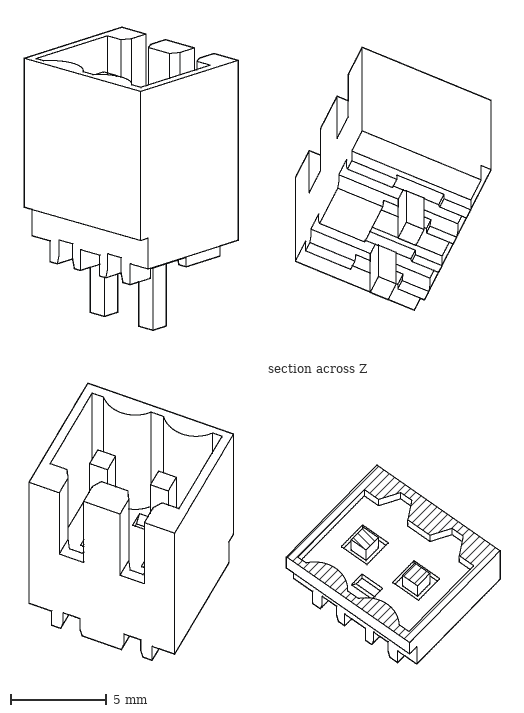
import cadquery as cq


pitch = 3.5
pin_width = 1.03
pin_y = 3.5
pin_tail = 3.2
pin_recess_below_rim = 1.25
pin_xs = (-pitch / 2, pitch / 2)

width = 8.4
depth = 7.45
rim_z = 11.05
ledge_z = 2.85
ledge_depth = 0.58
shoulder_z = 1.15
feet_width = 5.8

wall = 0.49
floor_z = ledge_z + wall
front_wall_left = 0.39
front_wall_middle = 0.43
front_wall_right = 0.53
cavity_back_y = 5.83
cheek_radius = 1.75
cheek_peak_y = 1.12
cheek_axis_y = cheek_peak_y - cheek_radius

keyway_back_y = 6.9
keyway_mouth = 1.98
keyway_end = 0.74
back_slot_width = 1.4
back_slot_depth = 5.0

floor_recess = 0.4
pin_recess_width = 1.75
ramp_width = 1.4
ramp_front_y = 1.13
ramp_foot_y = 1.53
ramp_recess_back_y = 2.0

notch_front_y = 2.13
notch_back_y = 4.85
notch_height = 0.52
pin_slot_width = 0.97
pin_slot_mouth = 1.23
pin_slot_height = 1.35
flare_height = 0.5
middle_slot_width = 1.4


def box(x_min, x_max, y_min, y_max, z_min, z_max):
    """Axis-aligned block between the given limits."""
    block = cq.Workplane("XY").box(x_max - x_min, y_max - y_min, z_max - z_min, centered=False)
    return block.translate((x_min, y_min, z_min))


def centred_box(x, x_size, y_min, y_max, z_min, z_max):
    """Block centred on x, between the given Y and Z limits."""
    return box(x - x_size / 2, x + x_size / 2, y_min, y_max, z_min, z_max)


def square_bar(x, size, z_min, z_max):
    """Square upright bar on a pin axis."""
    return centred_box(x, size, pin_y - size / 2, pin_y + size / 2, z_min, z_max)


def make_shell():
    """Solid outside of the housing, with the ledge and the narrower feet."""
    upper = centred_box(0, width, 0, depth, ledge_z, rim_z)
    base = centred_box(0, width, ledge_depth, depth, shoulder_z, ledge_z)
    feet = centred_box(0, feet_width, ledge_depth, depth, 0, shoulder_z)
    return upper.union(base).union(feet)


def make_cavity():
    """Socket space: stepped front wall, round cheeks before the pins and keyways behind them."""
    half = width / 2 - wall
    left_pin, right_pin = pin_xs
    cavity = box(-half, left_pin, front_wall_left, cavity_back_y, floor_z, rim_z)
    cavity = cavity.union(box(left_pin, right_pin, front_wall_middle, cavity_back_y, floor_z, rim_z))
    cavity = cavity.union(box(right_pin, half, front_wall_right, cavity_back_y, floor_z, rim_z))
    for x in pin_xs:
        cheek = (
            cq.Workplane("XY", origin=(x, cheek_axis_y, floor_z))
            .circle(cheek_radius)
            .extrude(rim_z - floor_z)
        )
        keyway = (
            cq.Workplane("XY", origin=(x, 0, floor_z))
            .moveTo(-keyway_mouth / 2, cavity_back_y)
            .lineTo(keyway_mouth / 2, cavity_back_y)
            .lineTo(keyway_end / 2, keyway_back_y)
            .lineTo(-keyway_end / 2, keyway_back_y)
            .close()
            .extrude(rim_z - floor_z)
        )
        cavity = cavity.cut(cheek).union(keyway)
    return cavity


def make_back_slot(x):
    """Slot from a keyway out through the back wall, open at the rim."""
    return centred_box(x, back_slot_width, cavity_back_y, depth, rim_z - back_slot_depth, rim_z)


def make_ramp_recess():
    """Floor recess whose front side is a ramp down to a flat bottom."""
    return (
        cq.Workplane("YZ", origin=(-ramp_width / 2, 0, 0))
        .moveTo(ramp_front_y, floor_z)
        .lineTo(ramp_foot_y, floor_z - floor_recess)
        .lineTo(ramp_recess_back_y, floor_z - floor_recess)
        .lineTo(ramp_recess_back_y, floor_z)
        .close()
        .extrude(ramp_width)
    )


def make_pin_slot(x):
    """Front-to-back slot under a pin, flared at its lower mouth."""
    return (
        cq.Workplane("XZ", origin=(x, 0, 0))
        .moveTo(-pin_slot_mouth / 2, 0)
        .lineTo(pin_slot_mouth / 2, 0)
        .lineTo(pin_slot_width / 2, flare_height)
        .lineTo(pin_slot_width / 2, pin_slot_height)
        .lineTo(-pin_slot_width / 2, pin_slot_height)
        .lineTo(-pin_slot_width / 2, flare_height)
        .close()
        .extrude(-depth)
    )


def make_pin(x):
    """Straight square pin, also used to cut its own hole."""
    return square_bar(x, pin_width, -pin_tail, rim_z - pin_recess_below_rim)


def make_housing():
    housing = make_shell().cut(make_cavity()).cut(make_ramp_recess())
    cross_notch = centred_box(0, feet_width, notch_front_y, notch_back_y, 0, notch_height)
    middle_slot = centred_box(0, middle_slot_width, ledge_depth, notch_back_y, 0, shoulder_z)
    housing = housing.cut(cross_notch).cut(middle_slot)
    for x in pin_xs:
        housing = housing.cut(make_back_slot(x))
        housing = housing.cut(square_bar(x, pin_recess_width, floor_z - floor_recess, floor_z))
        housing = housing.cut(make_pin_slot(x))
        housing = housing.cut(make_pin(x))
    return housing


housing = make_housing()
pins = [make_pin(x) for x in pin_xs]

result = cq.Compound.makeCompound([housing.val(), *[pin.val() for pin in pins]])